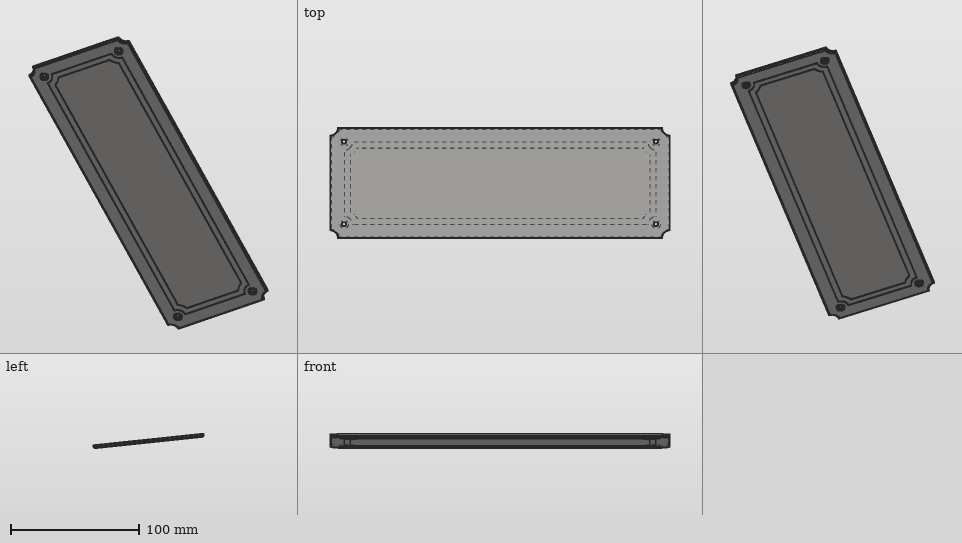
import cadquery as cq

length = 264.8
width = 86.3
thickness = 2.5
tilt = 6.0

edge_chamfer = 1.0
corner_radius = 6.0
hole_diameter = 3.2
hole_edge_distance = 10.9
counterbore_diameter = 6.4
counterbore_depth = 1.0

groove_width = 4.8
groove_depth = 0.5
groove_bend_radius = 6.4


def at_corners(inset):
    """Four points set in from the corners of the plate."""
    x = length / 2 - inset
    y = width / 2 - inset
    return [(x, y), (-x, y), (-x, -y), (x, -y)]


def make_blank():
    """Flat plate with scooped corners."""
    plate = cq.Workplane("XY").rect(length, width).extrude(thickness)
    scoops = cq.Workplane("XY").pushPoints(at_corners(0)).circle(corner_radius).extrude(thickness)
    return plate.cut(scoops)


def discs_at_holes(diameter, height):
    """Cylinders rising from the underside at the four hole centres."""
    return (
        cq.Workplane("XY")
        .pushPoints(at_corners(hole_edge_distance))
        .circle(diameter / 2)
        .extrude(height)
    )


def scooped_island(inset, bend_radius):
    """Groove-deep block, set in from the plate edges, with a scoop about each hole."""
    block = cq.Workplane("XY").rect(length - 2 * inset, width - 2 * inset).extrude(groove_depth)
    return block.cut(discs_at_holes(2 * bend_radius, groove_depth))


def make_groove():
    """Ring between two concentric scooped outlines."""
    outer = scooped_island(hole_edge_distance, groove_bend_radius)
    inner = scooped_island(hole_edge_distance + groove_width, groove_bend_radius + groove_width)
    return outer.cut(inner)


plate = make_blank().faces("<Z").edges().chamfer(edge_chamfer)
plate = plate.cut(discs_at_holes(hole_diameter, thickness))
plate = plate.cut(discs_at_holes(counterbore_diameter, counterbore_depth))
plate = plate.cut(make_groove())
result = plate.rotate((0, 0, 0), (1, 0, 0), -tilt)